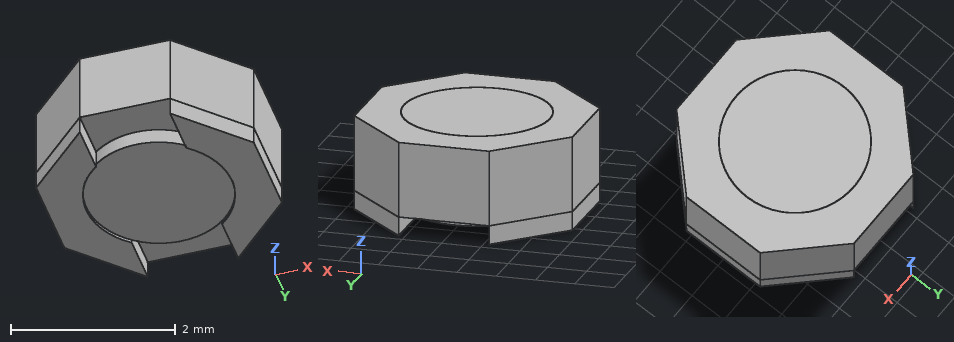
import cadquery as cq
import math

WIDTH = 2.78
SIDES = 8
HEIGHT = 1.2
TERMINAL_HEIGHT = 0.242
CORE_BOTTOM = 0.042
BORE_RADIUS = 0.929
CORE_GAP = 0.003

HALF_WIDTH = WIDTH / 2
HALF_SIDE = HALF_WIDTH * math.tan(math.pi / SIDES)
CORE_RADIUS = BORE_RADIUS - CORE_GAP


def make_bore():
    """Cylinder of space that the core occupies, over the full height."""
    return cq.Workplane("XY").circle(BORE_RADIUS).extrude(HEIGHT)


def make_housing():
    """Octagonal ring that stands on the terminals."""
    corner_diameter = WIDTH / math.cos(math.pi / SIDES)
    octagon = (
        cq.Workplane("XY")
        .polygon(SIDES, corner_diameter)
        .extrude(HEIGHT - TERMINAL_HEIGHT)
        .rotate((0, 0, 0), (0, 0, 1), 180 / SIDES)
        .translate((0, 0, TERMINAL_HEIGHT))
    )
    return octagon.cut(make_bore())


def make_core():
    """Round core, flush with the housing top and reaching below the housing."""
    return (
        cq.Workplane("XY", origin=(0, 0, CORE_BOTTOM))
        .circle(CORE_RADIUS)
        .extrude(HEIGHT - CORE_BOTTOM)
    )


def make_terminal(side):
    """Foot under one end of the housing; side is -1 or +1 along X."""
    outline = [
        (side * HALF_SIDE, -HALF_WIDTH),
        (side * HALF_WIDTH, -HALF_SIDE),
        (side * HALF_WIDTH, HALF_SIDE),
        (side * HALF_SIDE, HALF_WIDTH),
    ]
    foot = cq.Workplane("XY").polyline(outline).close().extrude(TERMINAL_HEIGHT)
    return foot.cut(make_bore())


housing = make_housing()
core = make_core()
terminals = [make_terminal(side) for side in (-1, 1)]

result = cq.Compound.makeCompound(
    [housing.val(), core.val(), *[terminal.val() for terminal in terminals]]
)